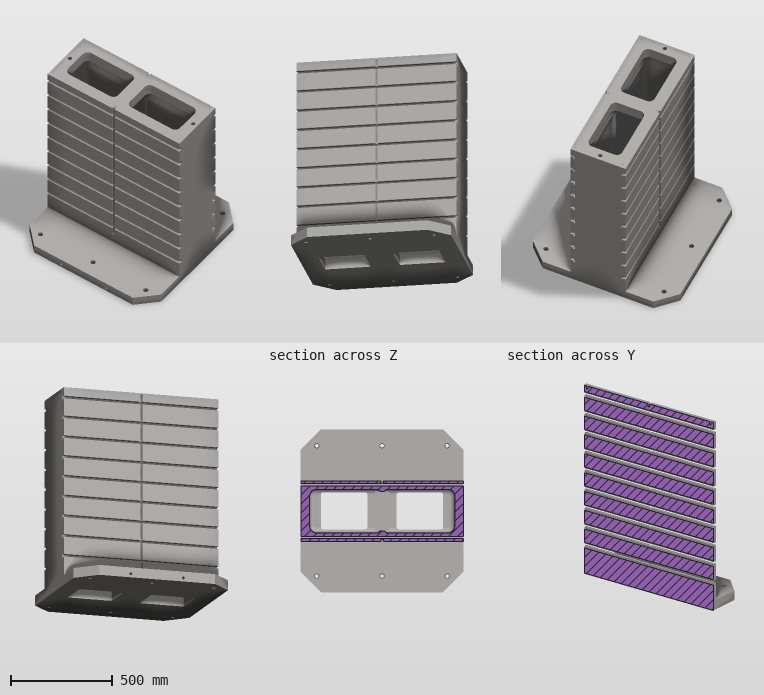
import cadquery as cq
import math

BASE_SIZE = 800.0
BASE_THICKNESS = 50.0
CORNER_CHAMFER = 100.0

TOTAL_HEIGHT = 1000.0
TOWER_DEPTH = 300.0

SLOT_COUNT = 9
SLOT_PITCH = 100.0
TOP_SLOT_DROP = 50.0
SLOT_NECK_WIDTH = 12.0
SLOT_NECK_DEPTH = 16.0
SLOT_MOUTH_CHAMFER = 1.5
SLOT_HEAD_WIDTH = 27.0
SLOT_DEPTH = 24.0

KEYWAY_WIDTH = 12.0
KEYWAY_DEPTH = 10.0
KEYWAY_BOTTOM = 103.0

OPENING_INNER_X = 36.0
OPENING_OUTER_X = 340.0
OPENING_DEPTH = 180.0
CORNER_RADIUS = 30.0
LIP_THICKNESS = 62.0

CHAMBER_INNER_X = 10.0
CHAMBER_OUTER_X = 355.0
CHAMBER_DEPTH = 210.0
CHAMBER_INNER_RADIUS = 15.0
CHAMBER_FLOOR_RADIUS = 25.0
WINDOW_DEPTH = 192.0
PAD_HEIGHT = 62.0

FLOOR_OPENING_INNER_X = 72.0
FLOOR_OPENING_OUTER_X = 300.0
FLOOR_OPENING_RADIUS = 10.0

MOUNT_PITCH = 320.0
MOUNT_BORE = 18.0
MOUNT_COUNTERBORE = 26.0
MOUNT_COUNTERBORE_DEPTH = 25.0

DRILL_POINT_ANGLE = 118.0
LIFT_HOLE_DIAMETER = 21.0
LIFT_HOLE_DEPTH = 40.0
LIFT_HOLE_X = 375.0
COVER_HOLE_DIAMETER = 5.0
COVER_HOLE_DEPTH = 15.0
COVER_HOLE_X = 380.0
COVER_HOLE_Y = 130.0
EDGE_HOLE_DIAMETER = 14.0
EDGE_HOLE_DEPTH = 30.0
EDGE_HOLE_X = 136.0
EDGE_HOLE_Z = 18.0

SIDES = (-1, 1)
LIP_BOTTOM = TOTAL_HEIGHT - LIP_THICKNESS


def span_box(x_start, x_end, depth, z_bottom, z_top):
    """Box between two X and two Z positions, centred on Y = 0."""
    return (
        cq.Workplane("XY", origin=((x_start + x_end) / 2, 0, z_bottom))
        .rect(x_end - x_start, depth)
        .extrude(z_top - z_bottom)
    )


def both_ends(body):
    """The body together with its mirror image across X = 0."""
    return body.union(body.mirror("YZ"))


def base_plate():
    plate = cq.Workplane("XY").rect(BASE_SIZE, BASE_SIZE).extrude(BASE_THICKNESS)
    return plate.edges("|Z").chamfer(CORNER_CHAMFER)


def t_slot(side, z):
    """T-shaped cutter along X with a chamfered mouth, opening on one clamping face at height z."""
    half_neck = SLOT_NECK_WIDTH / 2
    half_mouth = half_neck + SLOT_MOUTH_CHAMFER
    half_head = SLOT_HEAD_WIDTH / 2
    face_y = side * TOWER_DEPTH / 2
    throat_y = face_y - side * SLOT_MOUTH_CHAMFER
    step_y = face_y - side * SLOT_NECK_DEPTH
    bottom_y = face_y - side * SLOT_DEPTH
    return (
        cq.Workplane("YZ", origin=(0, 0, z))
        .polyline([
            (face_y, -half_mouth),
            (throat_y, -half_neck),
            (step_y, -half_neck),
            (step_y, -half_head),
            (bottom_y, -half_head),
            (bottom_y, half_head),
            (step_y, half_head),
            (step_y, half_neck),
            (throat_y, half_neck),
            (face_y, half_mouth),
        ])
        .close()
        .extrude(BASE_SIZE / 2, both=True)
    )


def keyway(side):
    """Vertical groove with a rounded lower end, open at the top."""
    radius = KEYWAY_WIDTH / 2
    arc_z = KEYWAY_BOTTOM + radius
    return (
        cq.Workplane("XZ", origin=(0, side * TOWER_DEPTH / 2, 0))
        .moveTo(-radius, TOTAL_HEIGHT)
        .lineTo(-radius, arc_z)
        .threePointArc((0, KEYWAY_BOTTOM), (radius, arc_z))
        .lineTo(radius, TOTAL_HEIGHT)
        .close()
        .extrude(side * KEYWAY_DEPTH)
    )


def chamber():
    """Void of one chamber, narrowed by a pad along each long wall under the lip."""
    cavity = span_box(CHAMBER_INNER_X, CHAMBER_OUTER_X, CHAMBER_DEPTH, BASE_THICKNESS, LIP_BOTTOM)
    cavity = cavity.edges("|Z and >X").fillet(CORNER_RADIUS)
    cavity = cavity.edges("|Z and <X").fillet(CHAMBER_INNER_RADIUS)
    cavity = cavity.faces("<Z").edges().fillet(CHAMBER_FLOOR_RADIUS)
    pad_bottom = LIP_BOTTOM - PAD_HEIGHT
    pads = span_box(0, CHAMBER_OUTER_X, CHAMBER_DEPTH, pad_bottom, LIP_BOTTOM).cut(
        span_box(0, CHAMBER_OUTER_X, WINDOW_DEPTH, pad_bottom, LIP_BOTTOM)
    )
    return cavity.cut(pads)


def hollow():
    """Complete inner void: top openings, chambers, web window and floor openings."""
    opening = span_box(OPENING_INNER_X, OPENING_OUTER_X, OPENING_DEPTH, LIP_BOTTOM, TOTAL_HEIGHT)
    opening = opening.edges("|Z").fillet(CORNER_RADIUS)
    floor_opening = span_box(
        FLOOR_OPENING_INNER_X, FLOOR_OPENING_OUTER_X, OPENING_DEPTH,
        0, BASE_THICKNESS + CHAMBER_FLOOR_RADIUS,
    )
    floor_opening = floor_opening.edges("|Z").fillet(FLOOR_OPENING_RADIUS)
    window_reach = CHAMBER_INNER_X + CHAMBER_FLOOR_RADIUS
    window = span_box(-window_reach, window_reach, WINDOW_DEPTH, BASE_THICKNESS, LIP_BOTTOM)
    return both_ends(chamber().union(opening).union(floor_opening)).union(window)


def drilled_hole(position, direction, diameter, depth):
    """Blind hole cutter with a conical drill point beyond its full depth."""
    radius = diameter / 2
    point = radius / math.tan(math.radians(DRILL_POINT_ANGLE / 2))
    start = cq.Vector(*position)
    axis = cq.Vector(*direction)
    barrel = cq.Solid.makeCylinder(radius, depth, start, axis)
    tip = cq.Solid.makeCone(radius, 0, point, start + axis * depth, axis)
    return cq.Workplane(barrel.fuse(tip))


def mount_hole(x, y):
    """Through hole in the base plate, counterbored from above."""
    bore = cq.Workplane("XY", origin=(x, y, 0)).circle(MOUNT_BORE / 2).extrude(BASE_THICKNESS)
    counterbore = (
        cq.Workplane("XY", origin=(x, y, BASE_THICKNESS))
        .circle(MOUNT_COUNTERBORE / 2)
        .extrude(-MOUNT_COUNTERBORE_DEPTH)
    )
    return bore.union(counterbore)


tower = span_box(-BASE_SIZE / 2, BASE_SIZE / 2, TOWER_DEPTH, 0, TOTAL_HEIGHT)
body = base_plate().union(tower).cut(hollow())

for side in SIDES:
    for index in range(SLOT_COUNT):
        body = body.cut(t_slot(side, TOTAL_HEIGHT - TOP_SLOT_DROP - index * SLOT_PITCH))
    body = body.cut(keyway(side))

for x in (-MOUNT_PITCH, 0, MOUNT_PITCH):
    for y in (-MOUNT_PITCH, MOUNT_PITCH):
        body = body.cut(mount_hole(x, y))

down = (0, 0, -1)
for side in SIDES:
    lift_point = (side * LIFT_HOLE_X, 0, TOTAL_HEIGHT)
    body = body.cut(drilled_hole(lift_point, down, LIFT_HOLE_DIAMETER, LIFT_HOLE_DEPTH))
    for x in (-COVER_HOLE_X, 0, COVER_HOLE_X):
        cover_point = (x, side * COVER_HOLE_Y, TOTAL_HEIGHT)
        body = body.cut(drilled_hole(cover_point, down, COVER_HOLE_DIAMETER, COVER_HOLE_DEPTH))
    edge_point = (side * EDGE_HOLE_X, -BASE_SIZE / 2, EDGE_HOLE_Z)
    body = body.cut(drilled_hole(edge_point, (0, 1, 0), EDGE_HOLE_DIAMETER, EDGE_HOLE_DEPTH))

result = body